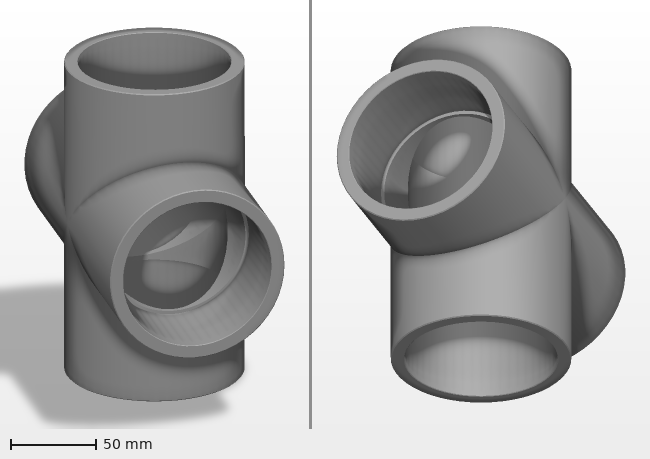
import cadquery as cq

length = 194.0
outer_diameter = 106.0
socket_diameter = 90.0
bore_diameter = 86.0
socket_depth = 51.2
rim_chamfer = 0.5
mouth_chamfer = 0.4

half_length = length / 2


def run_body(plane):
    """Solid cylinder centred on the origin, with chamfered rims."""
    return (
        cq.Workplane(plane)
        .circle(outer_diameter / 2)
        .extrude(half_length, both=True)
        .edges("%CIRCLE")
        .chamfer(rim_chamfer)
    )


def run_cavity(plane):
    """Through bore with a socket and a flared mouth at each end."""
    cavity = cq.Workplane(plane).circle(bore_diameter / 2).extrude(half_length, both=True)
    for direction in (1, -1):
        socket = (
            cq.Workplane(plane)
            .workplane(offset=direction * half_length)
            .circle(socket_diameter / 2)
            .extrude(-direction * socket_depth)
        )
        cavity = cavity.union(socket)
        mouth_flare = (
            cq.Workplane(plane)
            .workplane(offset=direction * half_length)
            .circle(socket_diameter / 2 + mouth_chamfer)
            .workplane(offset=-direction * mouth_chamfer)
            .circle(socket_diameter / 2)
            .loft(ruled=True)
        )
        cavity = cavity.union(mouth_flare)
    return cavity


body = run_body("YZ").union(run_body("XY"))
cavities = run_cavity("YZ").union(run_cavity("XY"))
result = body.cut(cavities)